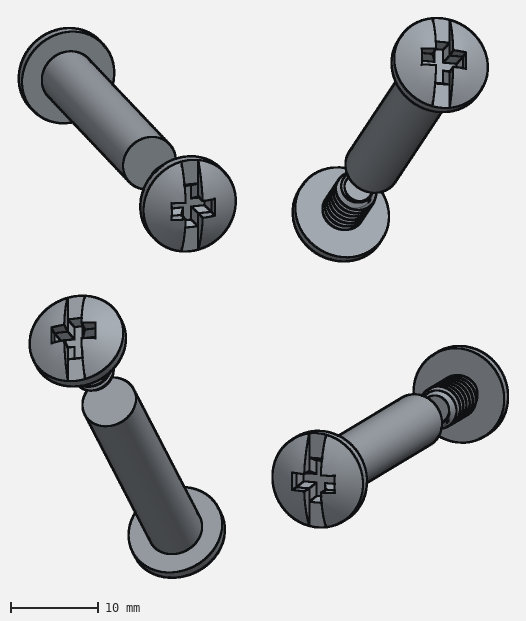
import cadquery as cq
import math


head_diameter = 11.1
rim_thickness = 1.35
slot_depth = 1.7
slot_width = 2.05
cross_length = 5.2
cross_taper = 0.5
cross_depth = 1.05

barrel_diameter = 6.35
barrel_length = 31.65

overall_length = 52.15
shank_length = 7.75
thread_diameter = 4.85
threaded_span = 7.4
pitches_in_span = 7
thread_pitch = threaded_span / pitches_in_span
thread_depth = 0.75
flank_angle = 30.0
crest_width = thread_pitch / 8
first_crest = 0.8
tip_diameter = 3.3
spare_turns = 2
ridge_overlap = 0.085
trim_clearance = 0.25

head_radius = head_diameter / 2
head_height = rim_thickness + slot_depth
screw_underside = overall_length - 2 * head_height
screw_tip = screw_underside - shank_length
core_radius = thread_diameter / 2 - thread_depth

corner_radius = slot_width / math.sqrt(2)
dome_centre_depth = (head_radius**2 - corner_radius**2 - slot_depth**2) / (2 * slot_depth)
dome_radius = math.hypot(head_radius, dome_centre_depth)
apex_height = rim_thickness + dome_radius - dome_centre_depth


def cross(plane_height, shrink):
    """Plus-shaped outline at a height, with every wall moved inward by `shrink`."""
    half_arm = cross_length / 2 - shrink
    half_width = slot_width / 2 - shrink
    corners = [
        (half_arm, -half_width),
        (half_arm, half_width),
        (half_width, half_width),
        (half_width, half_arm),
        (-half_width, half_arm),
        (-half_width, half_width),
        (-half_arm, half_width),
        (-half_arm, -half_width),
        (-half_width, -half_width),
        (-half_width, -half_arm),
        (half_width, -half_arm),
        (half_width, -half_width),
    ]
    return cq.Workplane("XY").workplane(offset=plane_height).polyline(corners).close()


def drive_recess():
    """Slot down to the rim, with a cross that tapers on below the slot floor."""
    cut_height = apex_height - rim_thickness
    slot = (
        cq.Workplane("XY")
        .workplane(offset=rim_thickness)
        .rect(head_diameter, slot_width)
        .extrude(cut_height)
    )
    straight_cross = cross(rim_thickness, 0).extrude(cut_height)
    mouth = cross(rim_thickness, 0).wires().val()
    floor = cross(rim_thickness - cross_depth, cross_taper).wires().val()
    tapered_cross = cq.Workplane(cq.Solid.makeLoft([mouth, floor], True))
    return slot.union(straight_cross).union(tapered_cross)


def head():
    """Domed head standing on the XY plane, with its slot along X."""
    mid_angle = math.asin(head_radius / dome_radius) / 2
    mid_height = rim_thickness - dome_centre_depth + dome_radius * math.cos(mid_angle)
    blank = (
        cq.Workplane("XZ")
        .lineTo(head_radius, 0)
        .lineTo(head_radius, rim_thickness)
        .threePointArc((dome_radius * math.sin(mid_angle), mid_height), (0, apex_height))
        .close()
        .revolve(360, (0, 0, 0), (0, 1, 0))
    )
    return blank.cut(drive_recess())


def facing_x(body, direction, x):
    """Turn a body from the Z axis to +X (1) or -X (-1), then move it along X."""
    return body.rotate((0, 0, 0), (0, 1, 0), 90 * direction).translate((x, 0, 0))


def make_sleeve():
    barrel = cq.Workplane("YZ").circle(barrel_diameter / 2).extrude(barrel_length)
    return facing_x(head(), -1, 0).union(barrel)


def thread_ridge():
    """Right-hand helical ridge along +Z, run past both ends of the shank."""
    base_radius = core_radius - ridge_overlap
    crest_radius = thread_diameter / 2
    half_crest = crest_width / 2
    half_base = half_crest + (thread_depth + ridge_overlap) * math.tan(math.radians(flank_angle))
    start = first_crest - spare_turns * thread_pitch
    turns = math.ceil(shank_length / thread_pitch) + spare_turns
    helix = cq.Wire.makeHelix(thread_pitch, turns * thread_pitch, base_radius, cq.Vector(0, 0, start))
    profile = (
        cq.Workplane("XZ")
        .moveTo(base_radius, start - half_base)
        .lineTo(crest_radius, start - half_crest)
        .lineTo(crest_radius, start + half_crest)
        .lineTo(base_radius, start + half_base)
        .close()
    )
    return profile.sweep(cq.Workplane(helix), isFrenet=True)


def threaded_shank():
    """Shank with its tip at the origin, running along +Z, and a 45 degree cone at the tip."""
    spare_length = (spare_turns + 1) * thread_pitch
    rod = (
        cq.Workplane("XY")
        .workplane(offset=-spare_length)
        .circle(core_radius)
        .extrude(shank_length + 2 * spare_length)
        .union(thread_ridge())
    )
    trim_radius = thread_diameter / 2 + trim_clearance
    trim = (
        cq.Workplane("XY")
        .circle(trim_radius)
        .extrude(shank_length)
        .faces("<Z")
        .chamfer(trim_radius - tip_diameter / 2)
    )
    return rod.intersect(trim)


def make_screw():
    shank = facing_x(threaded_shank(), 1, screw_tip)
    return facing_x(head(), 1, screw_underside).union(shank)


sleeve = make_sleeve()
screw = make_screw()

result = cq.Compound.makeCompound([sleeve.solids().val(), screw.solids().val()])